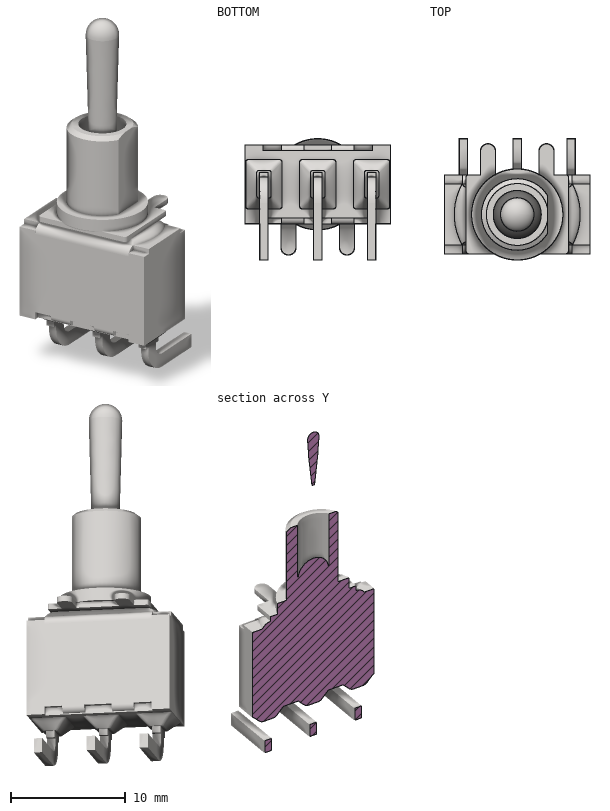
import cadquery as cq
import math


SHOULDER_BOTTOM = 2.65
POTTING_BOTTOM = 3.22
HOUSING_BOTTOM = 4.15
FRAME_BOTTOM = 4.85
HOUSING_SHOULDER = 12.62
HOUSING_TOP = 13.07
PLATE_BOTTOM = 13.55
PLATE_TOP = 14.05
WASHER_TOP = 15.15
BALL_CENTER = 16.9
BARREL_TOP = 22.57
LEVER_TOP = 32.52

HOUSING_LENGTH = 12.7
HOUSING_DEPTH = 6.9
FRAME_LENGTH = 9.53
FRAME_EDGE_RADIUS = 0.78
HOUSING_TOP_DEPTH = HOUSING_DEPTH - 2 * FRAME_EDGE_RADIUS
RABBET_DEPTH = 0.5
FRAME_TAB_SPACING = 4.4
FRAME_TAB_WIDTH = 1.95
FRAME_TAB_THICKNESS = 0.6
FRAME_TAB_RADIUS = 0.5

CROWN_RADIUS = 5.5
CROWN_EDGE_RADIUS = 0.98
CROWN_SIDE_RUN = 0.35

PLATE_LENGTH = 8.95
PLATE_FRONT_RADIUS = 0.3
PLATE_REAR_RADIUS = 0.2
LUG_SPACING = 5.1
LUG_WIDTH = 1.33
LUG_END = 6.18

WASHER_DIAMETER = 7.97
BARREL_DIAMETER = 6.25
BARREL_FLAT = 2.65
BARREL_CHAMFER_RUN = 0.42
BARREL_CHAMFER_HEIGHT = 0.33
BALL_DIAMETER = 4.2
LEVER_TIP_RADIUS = 1.45
LEVER_NECK_RADIUS = 1.25

TERMINAL_ROW_LENGTH = 9.4
TERMINAL_PITCH = TERMINAL_ROW_LENGTH / 2
TERMINAL_THICKNESS = 0.75
TERMINAL_WIDTH = 1.27
TERMINAL_BEND_RADIUS = 1.0
TERMINAL_SHOULDER_WIDTH = 2.08
OVERALL_DEPTH = 10.6
TERMINAL_REACH = OVERALL_DEPTH - WASHER_DIAMETER / 2
POTTING_LENGTH = 3.15
POTTING_DEPTH = 4.3
POTTING_EDGE_RADIUS = 0.33


def block(length, depth, bottom, top):
    """Box centred on the lever axis between two levels."""
    return cq.Workplane("XY").workplane(offset=bottom).rect(length, depth).extrude(top - bottom)


def cylinder(diameter, bottom, top):
    return cq.Workplane("XY").workplane(offset=bottom).circle(diameter / 2).extrude(top - bottom)


def make_housing():
    """Plastic body with a narrower top, and the frame wrapped over its middle."""
    housing = block(HOUSING_LENGTH, HOUSING_DEPTH, HOUSING_BOTTOM, HOUSING_SHOULDER)
    housing = housing.union(
        block(HOUSING_LENGTH, HOUSING_TOP_DEPTH, HOUSING_BOTTOM, HOUSING_TOP)
    )
    frame = block(FRAME_LENGTH, HOUSING_DEPTH, FRAME_BOTTOM, HOUSING_TOP)
    frame = frame.edges("|X and >Z").fillet(FRAME_EDGE_RADIUS)
    middle = block(FRAME_LENGTH, HOUSING_DEPTH, HOUSING_BOTTOM, HOUSING_TOP)
    core = block(
        FRAME_LENGTH, HOUSING_DEPTH - 2 * RABBET_DEPTH, HOUSING_BOTTOM, FRAME_BOTTOM
    )
    return housing.cut(middle).union(core).union(frame)


def make_frame_tabs():
    """Frame tabs folded under the housing, into the rabbets on both sides."""
    fold = block(
        FRAME_TAB_WIDTH, HOUSING_DEPTH, FRAME_BOTTOM - FRAME_TAB_THICKNESS, FRAME_BOTTOM
    )
    fold = fold.edges("|X and <Z").fillet(FRAME_TAB_RADIUS)
    left = fold.translate((-FRAME_TAB_SPACING / 2, 0, 0))
    right = fold.translate((FRAME_TAB_SPACING / 2, 0, 0))
    return left.union(right)


def make_crown():
    """Round crown with a rolled rim, trimmed front and back by sloping sides."""
    rim_center = PLATE_BOTTOM - CROWN_EDGE_RADIUS
    rim_run = math.sqrt(CROWN_EDGE_RADIUS**2 - (HOUSING_TOP - rim_center) ** 2)
    flat_radius = CROWN_RADIUS - rim_run
    mid_angle = (math.pi / 2 + math.atan2(HOUSING_TOP - rim_center, rim_run)) / 2
    rim_mid = (
        flat_radius + CROWN_EDGE_RADIUS * math.cos(mid_angle),
        rim_center + CROWN_EDGE_RADIUS * math.sin(mid_angle),
    )
    disc = (
        cq.Workplane("XZ")
        .moveTo(0, HOUSING_TOP)
        .lineTo(CROWN_RADIUS, HOUSING_TOP)
        .threePointArc(rim_mid, (flat_radius, PLATE_BOTTOM))
        .lineTo(0, PLATE_BOTTOM)
        .close()
        .revolve(360, (0, 0, 0), (0, 1, 0))
    )
    base = HOUSING_TOP_DEPTH / 2
    sides = (
        cq.Workplane("YZ")
        .moveTo(-base, HOUSING_TOP)
        .lineTo(base, HOUSING_TOP)
        .lineTo(base - CROWN_SIDE_RUN, PLATE_BOTTOM)
        .lineTo(-base + CROWN_SIDE_RUN, PLATE_BOTTOM)
        .close()
        .extrude(CROWN_RADIUS, both=True)
    )
    return disc.intersect(sides)


def make_plate():
    """Mounting plate with two round-ended lugs pointing to +Y."""
    plate = block(PLATE_LENGTH, HOUSING_DEPTH, PLATE_BOTTOM, PLATE_TOP)
    plate = plate.edges("|Z and <Y").fillet(PLATE_FRONT_RADIUS)
    plate = plate.edges("|Z and >Y").fillet(PLATE_REAR_RADIUS)
    for side in (-1, 1):
        lug = (
            cq.Workplane("XY")
            .workplane(offset=PLATE_BOTTOM)
            .center(side * LUG_SPACING / 2, LUG_END / 2)
            .slot2D(LUG_END, LUG_WIDTH, 90)
            .extrude(PLATE_TOP - PLATE_BOTTOM)
        )
        plate = plate.union(lug)
    return plate


def make_barrel():
    """Barrel with a chamfered rim, a flat on +X and a bore down to the ball."""
    radius = BARREL_DIAMETER / 2
    barrel = (
        cq.Workplane("XZ")
        .moveTo(0, PLATE_TOP)
        .lineTo(radius, PLATE_TOP)
        .lineTo(radius, BARREL_TOP - BARREL_CHAMFER_HEIGHT)
        .lineTo(radius - BARREL_CHAMFER_RUN, BARREL_TOP)
        .lineTo(0, BARREL_TOP)
        .close()
        .revolve(360, (0, 0, 0), (0, 1, 0))
    )
    flat_side = block(BARREL_DIAMETER, BARREL_DIAMETER, PLATE_TOP, BARREL_TOP)
    barrel = barrel.cut(flat_side.translate((BARREL_FLAT + radius, 0, 0)))
    return barrel.cut(cylinder(BALL_DIAMETER, BALL_CENTER, BARREL_TOP))


def make_lever():
    """Tapered lever with a domed tip, standing on the pivot ball."""
    tip_center = LEVER_TOP - LEVER_TIP_RADIUS
    taper = (LEVER_TIP_RADIUS - LEVER_NECK_RADIUS) / (tip_center - BARREL_TOP)
    foot_radius = LEVER_TIP_RADIUS - taper * (tip_center - BALL_CENTER)
    dome_mid = LEVER_TIP_RADIUS * math.sqrt(0.5)
    stem = (
        cq.Workplane("XZ")
        .moveTo(0, BALL_CENTER)
        .lineTo(foot_radius, BALL_CENTER)
        .lineTo(LEVER_TIP_RADIUS, tip_center)
        .threePointArc((dome_mid, tip_center + dome_mid), (0, LEVER_TOP))
        .close()
        .revolve(360, (0, 0, 0), (0, 1, 0))
    )
    ball = cq.Workplane("XY").sphere(BALL_DIAMETER / 2).translate((0, 0, BALL_CENTER))
    return stem.union(ball)


def make_potting():
    """Potting mound: a 45 degree pyramid stump under the housing."""
    height = HOUSING_BOTTOM - POTTING_BOTTOM
    mound = (
        cq.Workplane("XY")
        .workplane(offset=HOUSING_BOTTOM)
        .rect(POTTING_LENGTH, POTTING_DEPTH)
        .workplane(offset=-height)
        .rect(POTTING_LENGTH - 2 * height, POTTING_DEPTH - 2 * height)
        .loft(ruled=True)
    )
    return mound.edges("not(#Z)").fillet(POTTING_EDGE_RADIUS)


def make_terminal():
    """Flat terminal: wide shoulder, then a shank bent towards +Y."""
    half = TERMINAL_WIDTH / 2
    outer = TERMINAL_BEND_RADIUS + TERMINAL_WIDTH
    bend_y = half + TERMINAL_BEND_RADIUS
    diagonal = math.sqrt(0.5)
    shank = (
        cq.Workplane("YZ")
        .moveTo(-half, HOUSING_BOTTOM)
        .lineTo(-half, outer)
        .threePointArc((bend_y - outer * diagonal, outer - outer * diagonal), (bend_y, 0))
        .lineTo(TERMINAL_REACH, 0)
        .lineTo(TERMINAL_REACH, TERMINAL_WIDTH)
        .lineTo(bend_y, TERMINAL_WIDTH)
        .threePointArc(
            (
                bend_y - TERMINAL_BEND_RADIUS * diagonal,
                outer - TERMINAL_BEND_RADIUS * diagonal,
            ),
            (half, outer),
        )
        .lineTo(half, HOUSING_BOTTOM)
        .close()
        .extrude(TERMINAL_THICKNESS / 2, both=True)
    )
    shoulder = block(
        TERMINAL_THICKNESS, TERMINAL_SHOULDER_WIDTH, SHOULDER_BOTTOM, HOUSING_BOTTOM
    )
    return shank.union(shoulder)


result = make_housing().union(make_frame_tabs()).union(make_crown()).union(make_plate())
result = result.union(cylinder(WASHER_DIAMETER, PLATE_TOP, WASHER_TOP))
result = result.union(make_barrel()).union(make_lever())

potting_limit = block(HOUSING_LENGTH, HOUSING_DEPTH, POTTING_BOTTOM, HOUSING_BOTTOM)
for position in (-1, 0, 1):
    offset = (position * TERMINAL_PITCH, 0, 0)
    result = result.union(make_potting().translate(offset).intersect(potting_limit))
    result = result.union(make_terminal().translate(offset))